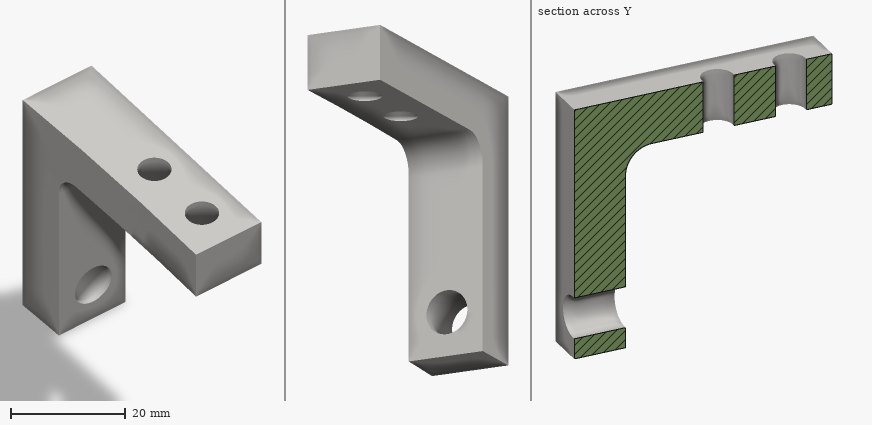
import cadquery as cq
import math

length = 50.0
height = 49.0
thickness = 10.0
inner_fillet = 5.0

hole_diameter = 6.0
hole_spacing = 14.0
last_hole_from_end = 8.0
leg_hole_diameter = 8.0
leg_hole_height = 8.0

narrowest_width = 14.0
hollow_radius = 650.0
last_hole_x = length - last_hole_from_end
first_hole_x = last_hole_x - hole_spacing
hollow_center_x = (first_hole_x + last_hole_x) / 2
hole_y = -narrowest_width / 2


def front_y(x):
    """Y of the hollow front side at a given X; the back side is at Y = 0."""
    offset = x - hollow_center_x
    sagitta = hollow_radius - math.sqrt(hollow_radius**2 - offset**2)
    return -narrowest_width - sagitta


body = (
    cq.Workplane("XY")
    .moveTo(0, 0)
    .lineTo(0, front_y(0))
    .threePointArc((hollow_center_x, -narrowest_width), (length, front_y(length)))
    .lineTo(length, 0)
    .close()
    .extrude(height)
)

full_width = -front_y(0)
corner_space = (
    cq.Workplane("XY")
    .box(length, 2 * full_width, height, centered=(False, True, False))
    .edges("|Y and <X and >Z")
    .fillet(inner_fillet)
    .translate((thickness, 0, -thickness))
)

arm_holes = (
    cq.Workplane("XY")
    .pushPoints([(first_hole_x, hole_y), (last_hole_x, hole_y)])
    .circle(hole_diameter / 2)
    .extrude(height)
)

leg_hole = (
    cq.Workplane("YZ")
    .center(hole_y, leg_hole_height)
    .circle(leg_hole_diameter / 2)
    .extrude(thickness)
)

result = body.cut(corner_space).cut(arm_holes).cut(leg_hole)